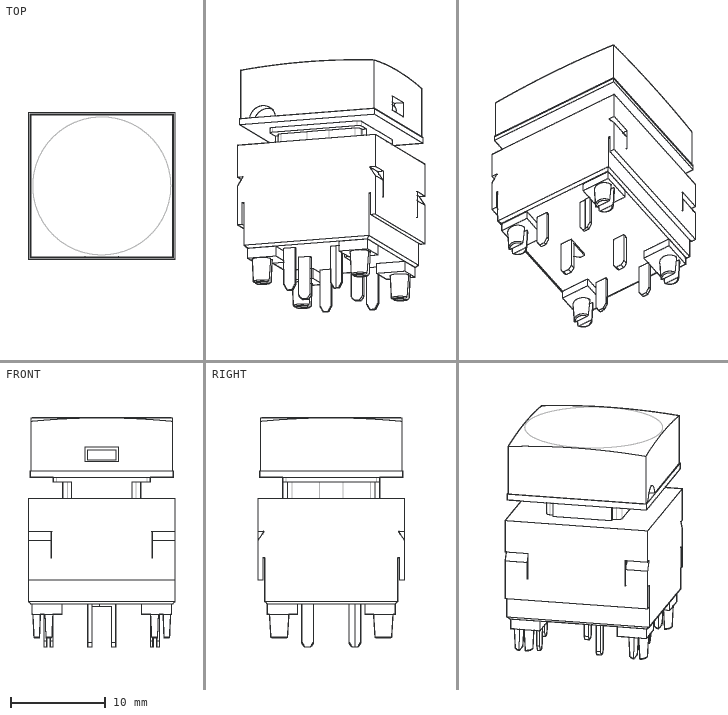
import cadquery as cq
import math


TOP = 24.2
CAP_BOTTOM = 18.55
FLANGE_BOTTOM = 17.9
PLATE_BOTTOM = 17.4
COVER_TOP = 15.68
COVER_BOTTOM = 12.22
WINDOW_BOTTOM = 9.41
SKIRT_BOTTOM = 7.07
BASE_BOTTOM = 4.53
FOOT_BOTTOM = 3.45
PEG_BOTTOM = 0.95

CAP_WIDTH = 14.95
FLANGE_WIDTH = 15.12
RIDGE_RADIUS = 7.28
DISH_DEPTH = 0.44
CORNER_DROP = 0.39
POCKET_LENGTH = 3.48
POCKET_DEPTH = 1.02
POCKET_BOTTOM = 19.58
POCKET_TOP = 21.1
BAR_LENGTH = 3.0
BAR_BOTTOM = 19.72
BAR_TOP = 20.8
BAR_BULGE = 0.3
NOTCH_RADIUS = 1.48
NOTCH_Y = 5.0
NOTCH_TOP = 19.8
NOTCH_DEPTH = 1.45

PLATE_WIDTH = 10.24
PLATE_FILLET = 0.36
STEM_CORE_X = 6.36
STEM_X = 8.18
STEM_Y = 9.25
STEM_FILLET = 0.48
STEM_BULGE_WIDTH = 2.45
STEM_BULGE = 0.07

BODY_WIDTH = 15.5
SKIRT_THICKNESS = 0.55
BASE_Y = 14.04
BASE_CHAMFER = 0.3
WINDOW_EDGE = 5.28
CATCH_EDGE = 5.35
CATCH_RAMP_Z = 11.23
CATCH_RAMP_Y = 7.1

FOOT_SIZE = 3.2
FOOT_X = 5.78
FOOT_Y = 5.15
PEG_X = 6.22
PEG_Y = 5.5
PEG_TOP_RADIUS = 1.06
PEG_END_RADIUS = 0.95
PEG_CHAMFER = 0.12
PEG_SLOT_TOP = 0.48
PEG_SLOT_END = 0.68

BLADE_WIDTH = 1.28
BLADE_TIP_WIDTH = 0.58
BLADE_TIP_HEIGHT = 0.63
BLADE_ROW_Y = 2.5
OUTER_BLADE_THICKNESS = 0.31
MIDDLE_BLADE_THICKNESS = 0.48
NEAR_BLADE_X = -5.28
MIDDLE_BLADE_X = 1.25
FAR_BLADE_X = 5.95
ROUND_TIP_HEIGHT = 0.48
ROUND_TIP_BULGE = 0.05
BLADE_STEP = 0.07
PAD_LENGTH = 2.05
PAD_HEIGHT = 0.25
PAD_CHAMFER = 0.77

EMBED = 0.25


def block(x_size, y_size, z_low, z_high, x=0, y=0):
    """Upright box centred on (x, y) between two levels."""
    base = cq.Workplane("XY", origin=(x, y, z_low))
    return base.rect(x_size, y_size).extrude(z_high - z_low)


def cap_top_cutter():
    """Revolved material above the cap: a dish inside the ridge, a falling crown outside it."""
    corner_radius = CAP_WIDTH / math.sqrt(2)
    crown_radius = (corner_radius**2 - RIDGE_RADIUS**2) / (2 * CORNER_DROP)

    def crown_z(r):
        return TOP - (r**2 - RIDGE_RADIUS**2) / (2 * crown_radius)

    dish_radius = (RIDGE_RADIUS**2 + DISH_DEPTH**2) / (2 * DISH_DEPTH)
    mid_r = RIDGE_RADIUS / 2
    mid_dish_z = TOP - DISH_DEPTH + dish_radius - math.sqrt(dish_radius**2 - mid_r**2)
    outer_r = corner_radius + EMBED
    middle_r = (RIDGE_RADIUS + outer_r) / 2
    profile = (
        cq.Workplane("XZ")
        .moveTo(0, TOP - DISH_DEPTH)
        .threePointArc((mid_r, mid_dish_z), (RIDGE_RADIUS, TOP))
        .threePointArc((middle_r, crown_z(middle_r)), (outer_r, crown_z(outer_r)))
        .lineTo(outer_r, TOP + EMBED)
        .lineTo(0, TOP + EMBED)
        .close()
    )
    return profile.revolve(360, (0, 0, 0), (0, 1, 0))


def cap():
    half = CAP_WIDTH / 2
    body = block(CAP_WIDTH, CAP_WIDTH, CAP_BOTTOM, TOP).cut(cap_top_cutter())

    pocket_back = POCKET_DEPTH - half
    pocket = block(POCKET_LENGTH, POCKET_DEPTH, POCKET_BOTTOM, POCKET_TOP, y=pocket_back - POCKET_DEPTH / 2)
    bar = (
        cq.Workplane("YZ", origin=(-BAR_LENGTH / 2, pocket_back, 0))
        .moveTo(0, BAR_BOTTOM)
        .threePointArc((-BAR_BULGE, (BAR_BOTTOM + BAR_TOP) / 2), (0, BAR_TOP))
        .lineTo(EMBED, BAR_TOP)
        .lineTo(EMBED, BAR_BOTTOM)
        .close()
        .extrude(BAR_LENGTH)
    )
    body = body.cut(pocket).union(bar)

    notch_start = (-half, NOTCH_Y, NOTCH_TOP - NOTCH_RADIUS)
    notch = cq.Workplane("YZ", origin=notch_start).circle(NOTCH_RADIUS).extrude(NOTCH_DEPTH)
    flange = block(FLANGE_WIDTH, FLANGE_WIDTH, FLANGE_BOTTOM, CAP_BOTTOM)
    return body.cut(notch).union(flange)


def plunger():
    plate = block(PLATE_WIDTH, PLATE_WIDTH, PLATE_BOTTOM, FLANGE_BOTTOM).edges("|Z").fillet(PLATE_FILLET)
    stem_low = COVER_TOP - EMBED
    core = block(STEM_CORE_X, PLATE_WIDTH, stem_low, PLATE_BOTTOM)
    sides = block(STEM_X, STEM_Y, stem_low, PLATE_BOTTOM).edges("|Z").fillet(STEM_FILLET)
    bulge_y = STEM_BULGE_WIDTH / 2
    bulges = (
        cq.Workplane("XY", origin=(0, 0, stem_low))
        .moveTo(STEM_X / 2, -bulge_y)
        .threePointArc((STEM_X / 2 + STEM_BULGE, 0), (STEM_X / 2, bulge_y))
        .lineTo(-STEM_X / 2, bulge_y)
        .threePointArc((-STEM_X / 2 - STEM_BULGE, 0), (-STEM_X / 2, -bulge_y))
        .close()
        .extrude(PLATE_BOTTOM - stem_low)
    )
    return plate.union(core).union(sides).union(bulges)


def cover():
    """Top block with a skirt on the front and back, open at the corners for the catches."""
    half = BODY_WIDTH / 2
    body = block(BODY_WIDTH, BODY_WIDTH, COVER_BOTTOM, COVER_TOP)
    window_length = half - WINDOW_EDGE
    for side in (-1, 1):
        skirt_y = side * (half - SKIRT_THICKNESS / 2)
        skirt = block(BODY_WIDTH, SKIRT_THICKNESS, SKIRT_BOTTOM, COVER_BOTTOM, y=skirt_y)
        for end in (-1, 1):
            window_x = end * (half - window_length / 2)
            skirt = skirt.cut(
                block(window_length, SKIRT_THICKNESS, WINDOW_BOTTOM, COVER_BOTTOM, window_x, skirt_y)
            )
        body = body.union(skirt)
    return body


def base():
    """Housing below the cover, with ramped catches that fill the skirt windows."""
    half = BODY_WIDTH / 2
    body = block(BODY_WIDTH, BASE_Y, BASE_BOTTOM, COVER_BOTTOM).faces("<Z").chamfer(BASE_CHAMFER)
    catch_section = (
        cq.Workplane("YZ", origin=(-half, 0, 0))
        .moveTo(-half, WINDOW_BOTTOM)
        .lineTo(half, WINDOW_BOTTOM)
        .lineTo(half, CATCH_RAMP_Z)
        .lineTo(CATCH_RAMP_Y, COVER_BOTTOM)
        .lineTo(-CATCH_RAMP_Y, COVER_BOTTOM)
        .lineTo(-half, CATCH_RAMP_Z)
        .close()
    )
    catch = catch_section.extrude(half - CATCH_EDGE)
    return body.union(catch).union(catch.mirror("YZ"))


def split_peg(x, y):
    """Tapered peg divided by a slot that widens towards its end."""
    length = FOOT_BOTTOM - PEG_BOTTOM
    peg = (
        cq.Workplane("XY", origin=(x, y, FOOT_BOTTOM))
        .circle(PEG_TOP_RADIUS)
        .workplane(offset=-length)
        .circle(PEG_END_RADIUS)
        .loft()
        .faces("<Z")
        .chamfer(PEG_CHAMFER)
    )
    slot = (
        cq.Workplane("XZ", origin=(x, y, 0))
        .moveTo(-PEG_SLOT_TOP / 2, FOOT_BOTTOM)
        .lineTo(PEG_SLOT_TOP / 2, FOOT_BOTTOM)
        .lineTo(PEG_SLOT_END / 2, PEG_BOTTOM)
        .lineTo(-PEG_SLOT_END / 2, PEG_BOTTOM)
        .close()
        .extrude(PEG_TOP_RADIUS, both=True)
    )
    return peg.cut(slot)


def feet():
    pieces = cq.Workplane("XY")
    for x_side in (-1, 1):
        for y_side in (-1, 1):
            foot = block(FOOT_SIZE, FOOT_SIZE, FOOT_BOTTOM, BASE_BOTTOM, x_side * FOOT_X, y_side * FOOT_Y)
            pieces = pieces.union(foot).union(split_peg(x_side * PEG_X, y_side * PEG_Y))
    return pieces


def blade(x, thickness, tip_height, tip_bulge=0):
    """Flat terminal in the front row; its tip tapers straight, or in arcs if it bulges."""
    half = BLADE_WIDTH / 2
    half_tip = BLADE_TIP_WIDTH / 2
    top = BASE_BOTTOM + EMBED
    outline = cq.Workplane("YZ", origin=(x - thickness / 2, -BLADE_ROW_Y, 0)).moveTo(-half_tip, 0)
    outline = outline.lineTo(half_tip, 0)
    if tip_bulge:
        outline = outline.sagittaArc((half, tip_height), -tip_bulge)
    else:
        outline = outline.lineTo(half, tip_height)
    outline = outline.lineTo(half, top).lineTo(-half, top).lineTo(-half, tip_height)
    if tip_bulge:
        outline = outline.sagittaArc((-half_tip, 0), -tip_bulge)
    return outline.close().extrude(thickness)


def terminals():
    """Two rows of three blades; the back row is the front row turned half a turn about Z."""
    near = blade(NEAR_BLADE_X, OUTER_BLADE_THICKNESS, BLADE_TIP_HEIGHT)
    middle = blade(MIDDLE_BLADE_X, MIDDLE_BLADE_THICKNESS, ROUND_TIP_HEIGHT, ROUND_TIP_BULGE)
    far = blade(FAR_BLADE_X, OUTER_BLADE_THICKNESS, BLADE_TIP_HEIGHT)

    step_x = NEAR_BLADE_X - (OUTER_BLADE_THICKNESS - BLADE_STEP) / 2
    step_y = BLADE_WIDTH / 4 - BLADE_ROW_Y
    near = near.cut(block(BLADE_STEP, BLADE_WIDTH / 2, 0, BASE_BOTTOM, step_x, step_y))

    row = near.union(middle).union(far)
    rows = row.union(row.rotate((0, 0, 0), (0, 0, 1), 180))

    pad = block(PAD_LENGTH, BLADE_WIDTH, BASE_BOTTOM - PAD_HEIGHT, BASE_BOTTOM, y=-BLADE_ROW_Y)
    return rows.union(pad.edges("|Z and <X and <Y").chamfer(PAD_CHAMFER))


result = cap().union(plunger()).union(cover()).union(base()).union(feet()).union(terminals())